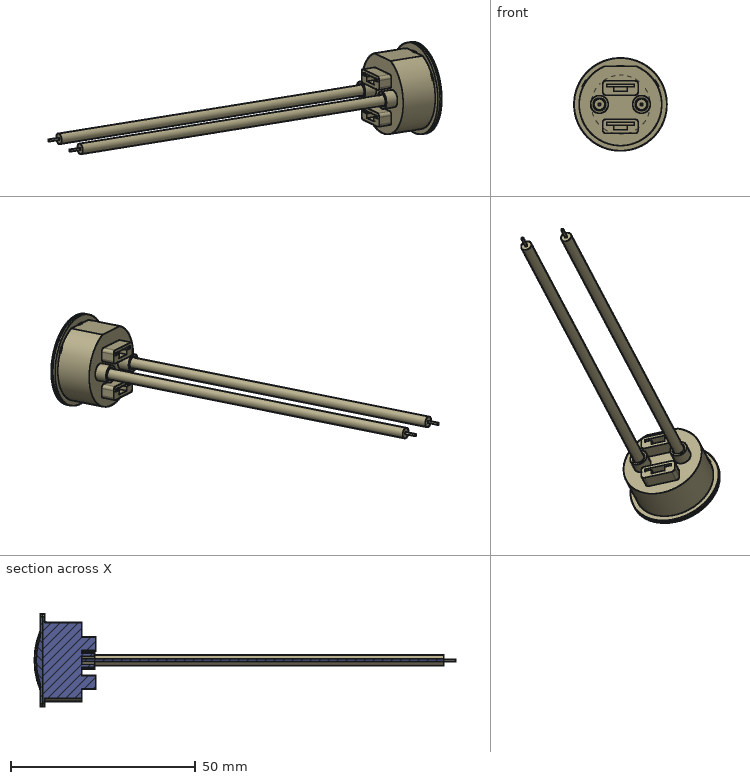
import cadquery as cq


OVERALL_LENGTH = 114.2

BARREL_RADIUS = 11.2
BARREL_LENGTH = 10.0
BARREL_FLAT_HEIGHT = 10.3
FLANGE_DIAMETER = 25.2
FLANGE_RADIUS = FLANGE_DIAMETER / 2
HOUSING_FLANGE_THICKNESS = 0.7
FLANGE_FACE_Y = BARREL_LENGTH + HOUSING_FLANGE_THICKNESS

NUB_WIDTH = 1.8
NUB_LENGTH = 0.2
NUB_PROTRUSION = 0.2
NUB_ROOT_DEPTH = 0.6
NUB_SPACING = 60

LENS_RIM_THICKNESS = 0.6
DOME_RADIUS = 8.0
DOME_HEIGHT = 1.6
LENS_RIM_FACE_Y = FLANGE_FACE_Y + LENS_RIM_THICKNESS
DOME_TOP_Y = LENS_RIM_FACE_Y + DOME_HEIGHT

SOCKET_WIDTH = 9.6
SOCKET_HEIGHT = 3.9
SOCKET_LENGTH = 3.8
SOCKET_CORNER_RADIUS = 0.9
SOCKET_CENTERS_Z = (4.5, -5.9)
SLOT_WIDTH = 7.5
SLOT_HEIGHT = 0.7
SLOT_OFFSET = 0.7
SLOT_DEPTH = 3.4
KEY_WIDTH = 3.8
KEY_DROP = 1.3
KEY_DEPTH = 2.9

WIRE_CENTERS_X = (-5.7, 5.7)
SLEEVE_RADIUS = 2.4
SLEEVE_LENGTH = 3.4
SLEEVE_BORE_RADIUS = 1.7
INSULATION_RADIUS = 1.5
CONDUCTOR_RADIUS = 0.3
STRIPPED_LENGTH = 3.2
WIRE_TIP_Y = DOME_TOP_Y - OVERALL_LENGTH
INSULATION_END_Y = WIRE_TIP_Y + STRIPPED_LENGTH


def cylinder(radius, start_y, end_y, x=0.0):
    """Solid cylinder parallel to Y, from start_y to end_y."""
    return (
        cq.Workplane("XZ", origin=(x, start_y, 0))
        .circle(radius)
        .extrude(start_y - end_y)
    )


def block(width, height, start_y, end_y, z):
    """Box centred on X = 0 and on the given Z, from start_y to end_y."""
    return (
        cq.Workplane("XZ", origin=(0, start_y, z))
        .rect(width, height)
        .extrude(start_y - end_y)
    )


def make_barrel():
    """Round barrel cut by one flat on its +Z side."""
    barrel = cylinder(BARREL_RADIUS, 0, BARREL_LENGTH)
    below_flat = block(
        2 * BARREL_RADIUS,
        BARREL_RADIUS + BARREL_FLAT_HEIGHT,
        0,
        BARREL_LENGTH,
        (BARREL_FLAT_HEIGHT - BARREL_RADIUS) / 2,
    )
    return barrel.intersect(below_flat)


def make_nub(angle):
    """Small block on the barrel against the flange, turned by the angle from the middle of the flat."""
    surface_radius = BARREL_FLAT_HEIGHT if angle == 0 else BARREL_RADIUS
    nub = block(
        NUB_WIDTH,
        NUB_ROOT_DEPTH + NUB_PROTRUSION,
        BARREL_LENGTH - NUB_LENGTH,
        BARREL_LENGTH,
        surface_radius + (NUB_PROTRUSION - NUB_ROOT_DEPTH) / 2,
    )
    return nub.rotate((0, 0, 0), (0, 1, 0), angle)


def make_socket(center_z):
    """Rounded connector shell with a wide slot and a shallower key notch below it."""
    shell = block(SOCKET_WIDTH, SOCKET_HEIGHT, -SOCKET_LENGTH, 0, center_z)
    shell = shell.edges("|Y").fillet(SOCKET_CORNER_RADIUS)
    slot_z = center_z + SLOT_OFFSET
    slot = block(SLOT_WIDTH, SLOT_HEIGHT, -SOCKET_LENGTH, SLOT_DEPTH - SOCKET_LENGTH, slot_z)
    key_z = slot_z - (SLOT_HEIGHT + KEY_DROP) / 2
    key = block(KEY_WIDTH, KEY_DROP, -SOCKET_LENGTH, KEY_DEPTH - SOCKET_LENGTH, key_z)
    return shell.cut(slot).cut(key)


def make_housing():
    """Barrel, nubs and flange with the rear sockets and the bored cable sleeves."""
    housing = make_barrel().union(cylinder(FLANGE_RADIUS, BARREL_LENGTH, FLANGE_FACE_Y))
    for angle in (-NUB_SPACING, 0, NUB_SPACING):
        housing = housing.union(make_nub(angle))
    for x in WIRE_CENTERS_X:
        housing = housing.union(cylinder(SLEEVE_RADIUS, -SLEEVE_LENGTH, 0, x))
    for z in SOCKET_CENTERS_Z:
        housing = housing.union(make_socket(z))
    for x in WIRE_CENTERS_X:
        housing = housing.cut(cylinder(SLEEVE_BORE_RADIUS, -SLEEVE_LENGTH, 0, x))
    return housing


def make_lens():
    """Flat rim with a shallow spherical dome, revolved about the Y axis."""
    sphere_radius = (DOME_RADIUS**2 + DOME_HEIGHT**2) / (2 * DOME_HEIGHT)
    return (
        cq.Workplane("XY")
        .moveTo(0, FLANGE_FACE_Y)
        .lineTo(FLANGE_RADIUS, FLANGE_FACE_Y)
        .lineTo(FLANGE_RADIUS, LENS_RIM_FACE_Y)
        .lineTo(DOME_RADIUS, LENS_RIM_FACE_Y)
        .radiusArc((0, DOME_TOP_Y), -sphere_radius)
        .close()
        .revolve(360, (0, 0, 0), (0, 1, 0))
    )


def make_wire(x):
    """Insulated wire seated on the barrel's rear face, with a bare conductor at its free end."""
    insulation = cylinder(INSULATION_RADIUS, INSULATION_END_Y, 0, x)
    conductor = cylinder(CONDUCTOR_RADIUS, WIRE_TIP_Y, INSULATION_END_Y, x)
    return insulation.union(conductor)


housing = make_housing()
lens = make_lens()
wires = [make_wire(x) for x in WIRE_CENTERS_X]

result = cq.Compound.makeCompound(
    [housing.val(), lens.val(), *[wire.val() for wire in wires]]
)